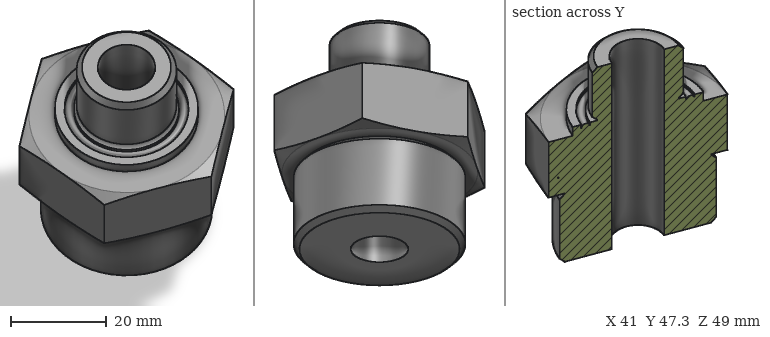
import cadquery as cq
import math

total_height = 49.0
stud_length = 14.0
collar_height = 2.3
lower_body_height = 18.0

hex_across_flats = 41.0
hex_sides = 6
hex_half_angle = 180.0 / hex_sides
hex_chamfer_angle = 15.0

bore_diameter = 12.0
stud_diameter = 20.95
stud_chamfer = 1.162
collar_diameter = 30.0
lower_body_diameter = 36.0
lower_body_chamfer = 1.227

groove_inner_diameter = 22.0
groove_outer_diameter = 26.0

collar_top = total_height - stud_length
hex_top = collar_top - collar_height
hex_height = hex_top - lower_body_height
hex_across_corners = hex_across_flats / math.cos(math.radians(hex_half_angle))
seal_radius = (groove_outer_diameter - groove_inner_diameter) / 4
seal_center_radius = (groove_outer_diameter + groove_inner_diameter) / 4


def chamfered_cylinder(diameter, height, chamfer, base):
    """Upright cylinder from the given base height, chamfered at both ends."""
    cylinder = cq.Workplane("XY").workplane(offset=base).circle(diameter / 2).extrude(height)
    return cylinder.edges().chamfer(chamfer)


def chamfered_hexagon():
    """Hexagon with flats facing +X and -X, its corners turned down by a cone at both ends."""
    prism = (
        cq.Workplane("XY")
        .workplane(offset=lower_body_height)
        .polygon(hex_sides, hex_across_corners)
        .extrude(hex_height)
        .rotate((0, 0, 0), (0, 0, 1), hex_half_angle)
    )
    flat_radius = hex_across_flats / 2
    corner_radius = hex_across_corners / 2
    corner_drop = (corner_radius - flat_radius) * math.tan(math.radians(hex_chamfer_angle))
    envelope = (
        cq.Workplane("XZ")
        .moveTo(0, lower_body_height)
        .lineTo(flat_radius, lower_body_height)
        .lineTo(corner_radius, lower_body_height + corner_drop)
        .lineTo(corner_radius, hex_top - corner_drop)
        .lineTo(flat_radius, hex_top)
        .lineTo(0, hex_top)
        .close()
        .revolve(360, (0, 0), (0, 1))
    )
    return prism.intersect(envelope)


def collar_with_seal():
    """Collar disc whose top face carries a groove filled by a half-round seal, flush at its crown."""
    seal_base = collar_top - seal_radius
    inner_radius = groove_inner_diameter / 2
    outer_radius = groove_outer_diameter / 2
    return (
        cq.Workplane("XZ")
        .moveTo(0, hex_top)
        .lineTo(collar_diameter / 2, hex_top)
        .lineTo(collar_diameter / 2, collar_top)
        .lineTo(outer_radius, collar_top)
        .lineTo(outer_radius, seal_base)
        .threePointArc((seal_center_radius, collar_top), (inner_radius, seal_base))
        .lineTo(inner_radius, collar_top)
        .lineTo(0, collar_top)
        .close()
        .revolve(360, (0, 0), (0, 1))
    )


lower_body = chamfered_cylinder(lower_body_diameter, lower_body_height, lower_body_chamfer, 0)
stud = chamfered_cylinder(stud_diameter, stud_length, stud_chamfer, collar_top)
bore = cq.Workplane("XY").circle(bore_diameter / 2).extrude(total_height)

result = lower_body.union(chamfered_hexagon()).union(collar_with_seal()).union(stud).cut(bore)